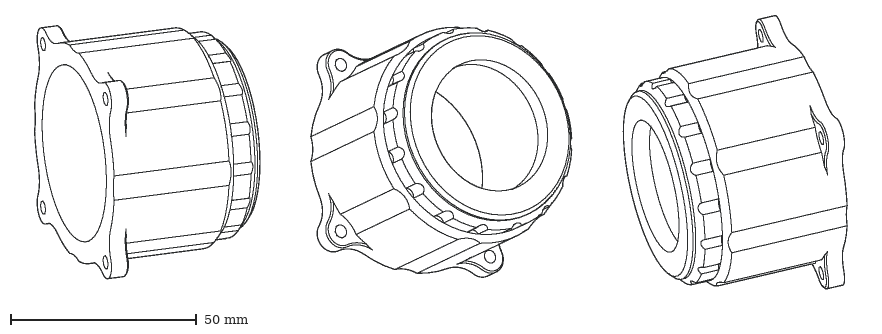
import cadquery as cq
import math

across_flutes = 59.6
length = 44.0

body_flute_count = 8
body_flute_width = 7.0
body_flute_depth = 0.6
body_radius = math.hypot(across_flutes / 2, body_flute_width / 2)
body_chamfer_start = 33.15

ring_start = 35.15
ring_chamfer_start = 40.15
ring_radius = 28.05
ring_flute_count = 16
ring_flute_width = 3.4
ring_flute_depth = 0.9

collar_start = 42.1
collar_radius = 52.0 / 2
collar_chamfer = 1.15

bore_radius = 48.0 / 2
mouth_radius = 36.4 / 2
end_wall = 5.05

lug_offset = 23.35
lug_radius = 4.45
lug_thickness = 5.05
lug_chamfer = 0.5
lug_root_radius = 27.4
neck_radius = 9.0
neck_overlap = 0.005
hole_diameter = 3.5


def polar(radius, angle):
    """Point at a radius and angle (in radians) around the axis."""
    return (radius * math.cos(angle), radius * math.sin(angle))


def toward(start, end, distance):
    """Point at a given distance from start along the line to end."""
    span = math.dist(start, end)
    return tuple(s + (e - s) * distance / span for s, e in zip(start, end))


def swap(point):
    """Mirror a point across the 45 degree line through the axis."""
    return (point[1], point[0])


def make_shell():
    """Revolved body, grip ring and collar with the stepped bore."""
    profile = [
        (bore_radius, 0),
        (body_radius, 0),
        (body_radius, body_chamfer_start),
        (ring_radius, ring_start),
        (ring_radius, ring_chamfer_start),
        (collar_radius, collar_start),
        (collar_radius, length - collar_chamfer),
        (collar_radius - collar_chamfer, length),
        (mouth_radius, length),
        (mouth_radius, length - end_wall),
        (bore_radius, length - end_wall),
    ]
    return cq.Workplane("XY").polyline(profile).close().revolve(360, (0, 0, 0), (0, 1, 0))


def make_flutes(count, outer_radius, width, depth, start, end):
    """Round cutters evenly spaced around the axis, from Y = start to Y = end."""
    chord_distance = math.sqrt(outer_radius**2 - (width / 2) ** 2)
    cutter_radius = ((width / 2) ** 2 + depth**2) / (2 * depth)
    center_distance = chord_distance - depth + cutter_radius
    return (
        cq.Workplane("XZ", origin=(0, start, 0))
        .polarArray(center_distance, 0, 360, count)
        .circle(cutter_radius)
        .extrude(start - end, combine=False)
    )


def make_lug():
    """One drilled lug in the +X +Z corner, blended into the body on both sides."""
    diagonal = math.radians(45)
    axis = (0, 0)
    hole_center = (lug_offset, lug_offset)
    hole_distance = math.hypot(*hole_center)

    sunk_radius = body_radius - neck_overlap
    body_gap = sunk_radius + neck_radius
    lug_gap = lug_radius + neck_radius
    cosine = (hole_distance**2 + body_gap**2 - lug_gap**2) / (2 * hole_distance * body_gap)
    neck_center = polar(body_gap, diagonal - math.acos(cosine))

    body_tangent = toward(axis, neck_center, sunk_radius)
    lug_tangent = toward(hole_center, neck_center, lug_radius)
    chord_middle = ((body_tangent[0] + lug_tangent[0]) / 2, (body_tangent[1] + lug_tangent[1]) / 2)
    neck_middle = toward(neck_center, chord_middle, neck_radius)
    lug_tip = polar(hole_distance + lug_radius, diagonal)
    root = toward(axis, body_tangent, lug_root_radius)

    lug = (
        cq.Workplane("XZ")
        .moveTo(*root)
        .lineTo(*body_tangent)
        .threePointArc(neck_middle, lug_tangent)
        .threePointArc(lug_tip, swap(lug_tangent))
        .threePointArc(swap(neck_middle), swap(body_tangent))
        .lineTo(*swap(root))
        .close()
        .extrude(-lug_thickness)
        .faces(">Y")
        .chamfer(lug_chamfer)
    )
    hole = cq.Workplane("XZ").center(*hole_center).circle(hole_diameter / 2).extrude(-lug_thickness)
    return lug.cut(hole)


body_flutes = make_flutes(
    body_flute_count, body_radius, body_flute_width, body_flute_depth, 0, ring_start
)
ring_flutes = make_flutes(
    ring_flute_count, ring_radius, ring_flute_width, ring_flute_depth, ring_start, length
)

result = make_shell().cut(body_flutes).cut(ring_flutes)

corner_lug = make_lug()
for quarter_turn in range(4):
    result = result.union(corner_lug.rotate((0, 0, 0), (0, 1, 0), 90 * quarter_turn))